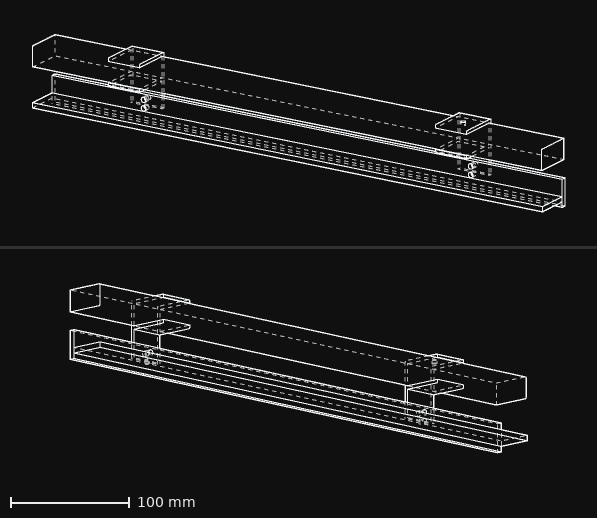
import cadquery as cq

RAIL_LENGTH = 507.0
RAIL_DEPTH = 35.5
RAIL_HEIGHT = 19.0
RAIL_EDGE_RADIUS = 1.5

BRACKET_WIDTH = 31.0
BRACKET_THICKNESS = 3.0
BRACKET_HEIGHT = 49.5
BRACKET_SPACING = 325.8
BRACKET_EDGE_RADIUS = 1.5
TOP_HOLE_DIAMETER = 4.0

PLATE_LENGTH = 508.24
PLATE_THICKNESS = 4.75
PLATE_HEIGHT = 25.0

SHELF_THICKNESS = 4.75
SHELF_BOTTOM = 4.75

FIXING_HOLE_DIAMETER = 4.6
UPPER_HOLE_HEIGHT = 19.7
LOWER_HOLE_HEIGHT = 12.2

TOTAL_HEIGHT = 62.85

BRACKET_DEPTH = RAIL_DEPTH + BRACKET_THICKNESS
RAIL_TOP = TOTAL_HEIGHT - BRACKET_THICKNESS
RAIL_BOTTOM = RAIL_TOP - RAIL_HEIGHT
LOWER_ARM_BOTTOM = RAIL_BOTTOM - BRACKET_THICKNESS
BRACKET_BOTTOM = TOTAL_HEIGHT - BRACKET_HEIGHT
PLATE_FRONT = RAIL_DEPTH - PLATE_THICKNESS
BRACKET_CENTERS = [PLATE_LENGTH / 2 + side * BRACKET_SPACING / 2 for side in (-1, 1)]


def box(x_size, y_size, z_size, corner):
    """Box growing in +X, +Y and +Z from its corner."""
    return cq.Workplane("XY").box(x_size, y_size, z_size, centered=False).translate(corner)


def fixing_holes(height):
    """Cutters along Y for one row of holes, long enough for plate and bracket tail."""
    centers = [(x, height) for x in BRACKET_CENTERS]
    return (
        cq.Workplane("XZ", origin=(0, BRACKET_DEPTH, 0))
        .pushPoints(centers)
        .circle(FIXING_HOLE_DIAMETER / 2)
        .extrude(BRACKET_THICKNESS + PLATE_THICKNESS)
    )


def rail_block():
    """Square-edged envelope of the rail, which is also the space inside the brackets."""
    return box(RAIL_LENGTH, RAIL_DEPTH, RAIL_HEIGHT, (0, 0, RAIL_BOTTOM))


def make_rail():
    return rail_block().faces("<Y").edges("|X").fillet(RAIL_EDGE_RADIUS)


def make_bracket(center_x, has_top_hole):
    """One bracket; only the right one has a screw hole through its top arm."""
    left = center_x - BRACKET_WIDTH / 2
    arms = box(BRACKET_WIDTH, BRACKET_DEPTH, TOTAL_HEIGHT - LOWER_ARM_BOTTOM, (left, 0, LOWER_ARM_BOTTOM))
    arms = arms.faces("<Y or >Z").edges("|X").fillet(BRACKET_EDGE_RADIUS)
    tail_height = RAIL_BOTTOM - BRACKET_BOTTOM
    tail = box(BRACKET_WIDTH, BRACKET_THICKNESS, tail_height, (left, RAIL_DEPTH, BRACKET_BOTTOM))
    bracket = arms.union(tail).cut(rail_block()).cut(fixing_holes(UPPER_HOLE_HEIGHT))
    if has_top_hole:
        top_hole = (
            cq.Workplane("XY", origin=(center_x, BRACKET_DEPTH / 2, RAIL_TOP))
            .circle(TOP_HOLE_DIAMETER / 2)
            .extrude(BRACKET_THICKNESS)
        )
        bracket = bracket.cut(top_hole)
    return bracket


def make_plate():
    plate = box(PLATE_LENGTH, PLATE_THICKNESS, PLATE_HEIGHT, (0, PLATE_FRONT, 0))
    return plate.cut(fixing_holes(UPPER_HOLE_HEIGHT)).cut(fixing_holes(LOWER_HOLE_HEIGHT))


def make_shelf():
    return box(PLATE_LENGTH, PLATE_FRONT, SHELF_THICKNESS, (0, 0, SHELF_BOTTOM))


rail = make_rail()
left_bracket, right_bracket = [
    make_bracket(x, has_top_hole) for x, has_top_hole in zip(BRACKET_CENTERS, (False, True))
]
plate = make_plate()
shelf = make_shelf()

result = cq.Compound.makeCompound(
    [rail.val(), left_bracket.val(), right_bracket.val(), plate.val(), shelf.val()]
)